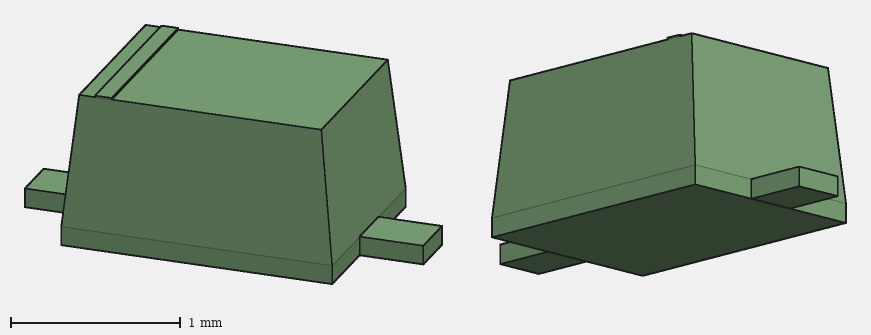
import cadquery as cq

housing_length = 1.70
housing_width = 1.25
housing_height = 0.95
end_taper = 0.09
side_taper = 0.06
housing_top_length = housing_length - 2 * end_taper
housing_top_width = housing_width - 2 * side_taper

overall_length = 2.50
lead_width = 0.32
lead_thickness = 0.12
lead_length = (overall_length - housing_length) / 2
lead_center = (housing_length + lead_length) / 2
base_height = lead_thickness

band_inset = 0.10
band_length = 0.105
band_thickness = 0.01
band_center = -housing_top_length / 2 + band_inset + band_length / 2


def make_housing():
    """Base, tapered cap and polarity band in one solid standing on Z = 0."""
    base = cq.Workplane("XY").rect(housing_length, housing_width).extrude(base_height)
    cap = (
        cq.Workplane("XY", origin=(0, 0, base_height))
        .rect(housing_length, housing_width)
        .workplane(offset=housing_height - base_height)
        .rect(housing_top_length, housing_top_width)
        .loft(ruled=True)
    )
    band = (
        cq.Workplane("XY", origin=(band_center, 0, housing_height))
        .rect(band_length, housing_top_width)
        .extrude(band_thickness)
    )
    return base.union(cap).union(band)


def make_lead(center_x):
    """Flat lead resting on Z = 0, centered on the given X."""
    return cq.Workplane("XY", origin=(center_x, 0, 0)).rect(lead_length, lead_width).extrude(lead_thickness)


housing = make_housing()
leads = [make_lead(side * lead_center) for side in (-1, 1)]

result = cq.Compound.makeCompound([*housing.solids().vals(), *[lead.val() for lead in leads]])